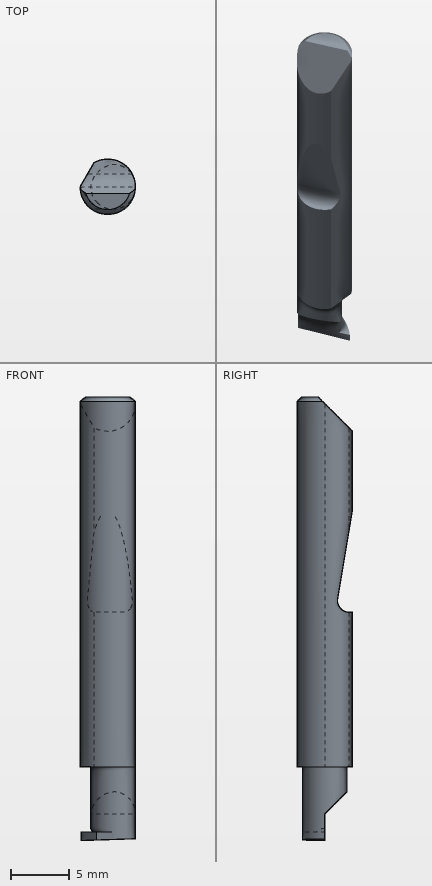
import cadquery as cq
import math

total_length = 38.1
shank_radius = 2.38
neck_length = 6.32
top_chamfer = 0.4
top_chamfer_radial = 0.42

flat_angle = 60.0

bevel_height_at_axis = 37.53

notch_top = 28.35
notch_bottom = 19.62
notch_slope = 9.5
notch_fillet = 1.0

neck_radius = 1.925
neck_center_x = shank_radius - neck_radius
neck_bevel_start = 2.3

neck_back_radius = 2.2
neck_back_center_y = neck_radius - neck_back_radius

head_height = 0.75
tip_x = -2.3
head_arc_middle = (-1.9, -0.72)
head_arc_end = (-1.43, -1.37)
head_corner = (-0.97, -1.9)
head_run_out_x = 0.55
bottom_rise = 0.15

relief_height = 0.3
relief_depth = 0.135

clearance = 0.4


def extrude_yz(points):
    """Prism along X, wider than the part, from a Y-Z outline."""
    half_width = shank_radius + clearance
    return cq.Workplane("YZ").polyline(points).close().extrude(half_width, both=True)


def extrude_xz(points):
    """Prism along Y, wider than the part, from an X-Z outline."""
    half_width = shank_radius + clearance
    return cq.Workplane("XZ").polyline(points).close().extrude(half_width, both=True)


def make_shank():
    shank_length = total_length - neck_length
    shank = cq.Workplane("XY").workplane(offset=neck_length).circle(shank_radius).extrude(shank_length)
    return shank.faces(">Z").chamfer(top_chamfer, top_chamfer_radial)


def side_flat():
    """Material outside the chord that starts at the -X point of the shank."""
    chord_x = shank_radius * math.cos(math.radians(flat_angle))
    chord_y = shank_radius * math.sin(math.radians(flat_angle))
    outside = shank_radius + clearance
    outline = [(-shank_radius, 0), (-chord_x, chord_y), (-chord_x, outside), (-outside, outside), (-outside, 0)]
    return cq.Workplane("XY").polyline(outline).close().extrude(total_length)


def top_bevel():
    outside = shank_radius + clearance
    top = total_length + clearance
    return extrude_yz([
        (bevel_height_at_axis - top, top),
        (outside, top),
        (outside, bevel_height_at_axis - outside),
    ])


def clamping_notch():
    slope = math.tan(math.radians(notch_slope))
    corner_y = shank_radius - slope * (notch_top - notch_bottom)
    outside = shank_radius + clearance
    notch = extrude_yz([
        (corner_y, notch_bottom),
        (outside, notch_bottom),
        (outside, notch_top + clearance / slope),
    ])
    inner_corner = cq.selectors.NearestToPointSelector((0, corner_y, notch_bottom))
    return notch.edges(inner_corner).fillet(notch_fillet)


def make_neck():
    """Round neck whose +Y half is bevelled away to leave a half-round end."""
    round_neck = cq.Workplane("XY").center(neck_center_x, 0).circle(neck_radius).extrude(neck_length)
    outside = shank_radius + clearance
    front_space = extrude_yz([(0, 0), (-outside, 0), (-outside, neck_length), (0, neck_length)])
    crease_x = neck_center_x - neck_radius
    back_center_x = crease_x + math.sqrt(neck_back_radius**2 - neck_back_center_y**2)
    back_cylinder = (
        cq.Workplane("XY")
        .center(back_center_x, neck_back_center_y)
        .circle(neck_back_radius)
        .extrude(neck_length)
    )
    front_half = round_neck.intersect(front_space)
    back_half = round_neck.cut(front_space).intersect(back_cylinder)
    neck = front_half.union(back_half)
    bevel = extrude_yz([(0, 0), (0, neck_bevel_start), (outside, neck_bevel_start + outside), (outside, 0)])
    relief = extrude_xz([
        (tip_x, head_height),
        (tip_x, head_height + relief_height),
        (crease_x, head_height + relief_height),
        (crease_x + relief_depth, head_height),
    ])
    return neck.cut(bevel).cut(relief)


def make_head():
    """Cutting tooth reaching left of the neck, with its rake face on Y = 0."""
    run_out_y = -math.sqrt(neck_radius**2 - (head_run_out_x - neck_center_x) ** 2)
    return (
        cq.Workplane("XY")
        .moveTo(tip_x, 0)
        .threePointArc(head_arc_middle, head_arc_end)
        .lineTo(*head_corner)
        .lineTo(head_run_out_x, run_out_y)
        .lineTo(head_run_out_x, 0)
        .close()
        .extrude(head_height)
    )


shank = make_shank().cut(side_flat()).cut(top_bevel()).cut(clamping_notch())

end_relief = extrude_xz([(tip_x, 0), (shank_radius, 0), (shank_radius, bottom_rise)])
tool_end = make_neck().union(make_head()).cut(end_relief)

result = shank.union(tool_end)